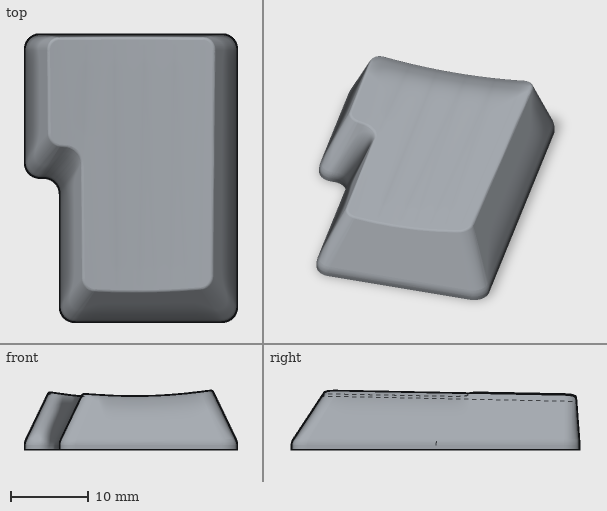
import cadquery as cq
import math


width = 27.45
length = 37.2
step_x = 4.5
step_y = length / 2
corner_radius = 2.0

skirt_height = 0.6
wall_start = 1.38
wall_end = 9.67
blend_steps = 3
side_slope = 0.48
front_slope = 0.66
back_slope = 0.074
radius_slope = 0.065

dish_radius = 65.1
dish_x = 14.15
dish_tilt = 1.2
dish_front_z = 7.05
rim_radius = 0.37


def wall_rise(z):
    """Height that counts for the slopes: zero on the skirt, parabolic in the blend."""
    blend_height = wall_start - skirt_height
    if z <= skirt_height:
        return 0
    if z < wall_start:
        return (z - skirt_height) ** 2 / (2 * blend_height)
    return z - skirt_height - blend_height / 2


def toward(start, end, distance):
    """Point at the given distance from start on the line to end."""
    share = distance / math.dist(start, end)
    return tuple(a + share * (b - a) for a, b in zip(start, end))


def outline(z):
    """Closed stepped outline with rounded corners at height z."""
    rise = wall_rise(z)
    left = side_slope * rise
    step = step_x + left
    right = width - side_slope * rise
    front = front_slope * rise
    shoulder = step_y + front
    back = length - back_slope * rise
    outer_radius = corner_radius - radius_slope * rise
    corners = [
        ((step, front), outer_radius),
        ((right, front), outer_radius),
        ((right, back), outer_radius),
        ((left, back), outer_radius),
        ((left, shoulder), outer_radius),
        ((step, shoulder), corner_radius),
    ]

    wire = cq.Workplane("XY", origin=(0, 0, z))
    for i, (corner, radius) in enumerate(corners):
        previous_corner = corners[i - 1][0]
        next_corner = corners[(i + 1) % len(corners)][0]
        arc_start = toward(corner, previous_corner, radius)
        arc_end = toward(corner, next_corner, radius)
        arc_center = tuple(s + e - c for s, e, c in zip(arc_start, arc_end, corner))
        arc_middle = toward(arc_center, corner, radius)
        wire = wire.moveTo(*arc_start) if i == 0 else wire.lineTo(*arc_start)
        wire = wire.threePointArc(arc_middle, arc_end)
    return wire.close()


def loft(heights, ruled):
    """Solid through the outlines at the given heights."""
    wires = [outline(z).val() for z in heights]
    return cq.Workplane(cq.Solid.makeLoft(wires, ruled))


def dish_cutter():
    """Long cylinder along Y, tilted about its lowest point at y = 0."""
    return (
        cq.Workplane("XZ")
        .center(dish_x, dish_front_z + dish_radius)
        .circle(dish_radius)
        .extrude(2 * length, both=True)
        .rotate((0, 0, dish_front_z), (1, 0, dish_front_z), -dish_tilt)
    )


skirt = outline(0).extrude(skirt_height)
blend_step = (wall_start - skirt_height) / blend_steps
blend_heights = [skirt_height + i * blend_step for i in range(blend_steps + 1)]
blend = loft(blend_heights, ruled=False)
walls = loft([wall_start, wall_end], ruled=True)
body = skirt.union(blend).union(walls)

dished = body.cut(dish_cutter())
dish_face = dished.faces(cq.NearestToPointSelector((width / 2, length / 2, dish_front_z)))
result = dish_face.edges().fillet(rim_radius)